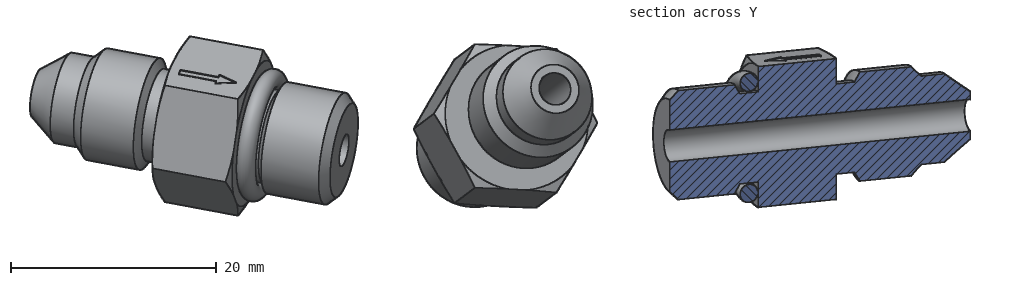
import cadquery as cq
import math

overall_length = 31.25
bore_diameter = 3.2

tip_diameter = 4.85
nose_diameter = 9.0
nose_cone_length = 2.72

thread_diameter = 11.1
undercut_diameter = 9.2
runout_length = 0.55
nose_thread_start = 5.1
nose_thread_end = 12.05
port_end_diameter = 9.3

hex_start = 13.93
hex_length = 8.12
hex_corner_diameter = 16.5
hex_face_diameter = 14.43
hex_chamfer_length = 0.35

ring_section_diameter = 1.87
ring_outer_diameter = 13.12

arrow_start = 15.0
arrow_length = 5.78
arrow_head_length = 1.95
arrow_head_width = 1.45
arrow_shaft_width = 0.7
arrow_center_y = -1.62
arrow_depth = 0.1

hex_end = hex_start + hex_length
hex_across_flats = hex_corner_diameter * math.cos(math.pi / 6)
thread_radius = thread_diameter / 2
undercut_radius = undercut_diameter / 2
nose_radius = nose_diameter / 2
port_thread_start = hex_end + ring_section_diameter
left_end = -overall_length / 2


def revolve_about_axis(points):
    """Solid of revolution about X from (x, radius) points; the outline closes along the axis."""
    outline = [(points[0][0], 0), *points, (points[-1][0], 0)]
    return cq.Workplane("XY").polyline(outline).close().revolve(360, (0, 0), (1, 0))


def make_turned_body():
    """Nose cone, nose thread, undercuts and port thread as one turned blank."""
    nose_chamfer = thread_radius - nose_radius
    port_chamfer = thread_radius - port_end_diameter / 2
    return revolve_about_axis([
        (0, tip_diameter / 2),
        (nose_cone_length, nose_radius),
        (nose_thread_start, nose_radius),
        (nose_thread_start + nose_chamfer, thread_radius),
        (nose_thread_end - runout_length, thread_radius),
        (nose_thread_end, undercut_radius),
        (port_thread_start, undercut_radius),
        (port_thread_start + runout_length, thread_radius),
        (overall_length - port_chamfer, thread_radius),
        (overall_length, port_end_diameter / 2),
    ])


def make_hexagon():
    """Hexagonal prism whose corners are chamfered by a cone at both ends."""
    prism = (
        cq.Workplane("YZ", origin=(hex_start, 0, 0))
        .polygon(6, hex_corner_diameter)
        .extrude(hex_length)
    )
    chamfer_envelope = revolve_about_axis([
        (hex_start, hex_face_diameter / 2),
        (hex_start + hex_chamfer_length, hex_corner_diameter / 2),
        (hex_end - hex_chamfer_length, hex_corner_diameter / 2),
        (hex_end, hex_face_diameter / 2),
    ])
    return prism.intersect(chamfer_envelope)


def make_arrow_cutter():
    """Shallow arrow pointing along +X, sunk into the upper flat."""
    neck_x = arrow_length - arrow_head_length
    half_shaft = arrow_shaft_width / 2
    half_head = arrow_head_width / 2
    return (
        cq.Workplane("XY", origin=(arrow_start, arrow_center_y, hex_across_flats / 2))
        .polyline([
            (0, -half_shaft),
            (neck_x, -half_shaft),
            (neck_x, -half_head),
            (arrow_length, 0),
            (neck_x, half_head),
            (neck_x, half_shaft),
            (0, half_shaft),
        ])
        .close()
        .extrude(-arrow_depth)
    )


def make_fitting():
    """Turned body with its hexagon, through bore and flow arrow."""
    bore = cq.Workplane("YZ").circle(bore_diameter / 2).extrude(overall_length)
    return make_turned_body().union(make_hexagon()).cut(bore).cut(make_arrow_cutter())


def make_sealing_ring():
    """O-ring held between the hexagon face and the port thread."""
    section_radius = ring_section_diameter / 2
    center_radius = ring_outer_diameter / 2 - section_radius
    return (
        cq.Workplane("XY")
        .center(hex_end + section_radius, center_radius)
        .circle(section_radius)
        .revolve(360, (0, -center_radius), (1, -center_radius))
    )


fitting = make_fitting().translate((left_end, 0, 0))
sealing_ring = make_sealing_ring().translate((left_end, 0, 0))

result = cq.Compound.makeCompound([fitting.val(), sealing_ring.val()])